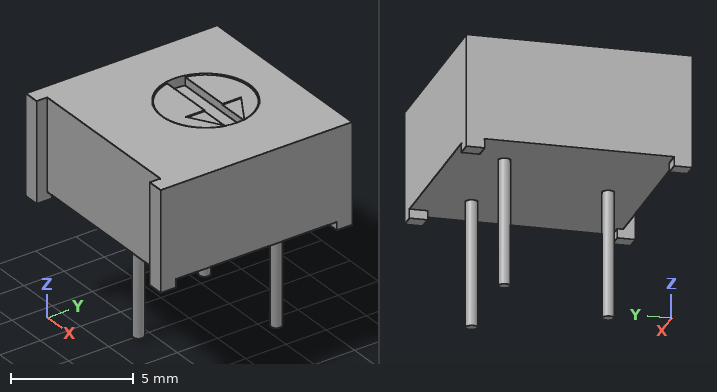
import cadquery as cq

side = 9.53
total_height = 9.9
body_height = 4.455
foot_height = 4.85
foot_size = 0.77
front_recess = 0.52

pin_diameter = 0.51
pin_offset = 2.53
pin_row_shift = 0.02

rotor_x = -0.08
rotor_y = 0.89
rotor_diameter = 4.28
bore_diameter = 4.38
slot_width = 0.89
rotor_recess = 0.05
slot_depth = 0.4
gap_depth = 0.59
arrow_base_x = 0.54
arrow_half_width = 1.38
arrow_tip_x = 2.84
arrow_depth = 0.05


def block(x_size, y_size, height):
    """Box centred on X and Y, hanging down from Z = 0."""
    return cq.Workplane("XY").rect(x_size, y_size).extrude(-height)


def make_housing():
    """Square block on four corner feet, with a recessed front face."""
    housing = block(side, side, body_height)
    foot_offset = (side - foot_size) / 2
    for x_sign in (-1, 1):
        for y_sign in (-1, 1):
            foot = block(foot_size, foot_size, foot_height)
            housing = housing.union(foot.translate((x_sign * foot_offset, y_sign * foot_offset, 0)))
    recess = block(side - 2 * foot_size, 2 * front_recess, foot_height)
    return housing.cut(recess.translate((0, -side / 2, 0)))


def make_pins():
    """Three round pins in a triangle, starting at the underside of the body."""
    rear_y = pin_offset + pin_row_shift
    front_y = -pin_offset + pin_row_shift
    centres = [(-pin_offset, rear_y), (0, front_y), (pin_offset, rear_y)]
    return (
        cq.Workplane("XY")
        .workplane(offset=-body_height)
        .pushPoints(centres)
        .circle(pin_diameter / 2)
        .extrude(body_height - total_height)
    )


def make_rotor_cut():
    """Ring gap around the sunken rotor, screwdriver slot and shallow arrow mark."""
    bore = cq.Workplane("XY").circle(bore_diameter / 2).extrude(-gap_depth)
    rotor_top = cq.Workplane("XY").workplane(offset=-rotor_recess)
    rotor = rotor_top.circle(rotor_diameter / 2).extrude(rotor_recess - gap_depth)
    slot = block(bore_diameter, slot_width, slot_depth).translate((0, 0, -rotor_recess))
    arrow = (
        rotor_top
        .polyline([(arrow_base_x, -arrow_half_width), (arrow_tip_x, 0), (arrow_base_x, arrow_half_width)])
        .close()
        .extrude(-arrow_depth)
    )
    return bore.cut(rotor.cut(slot).cut(arrow)).translate((rotor_x, rotor_y, 0))


result = make_housing().union(make_pins()).cut(make_rotor_cut())